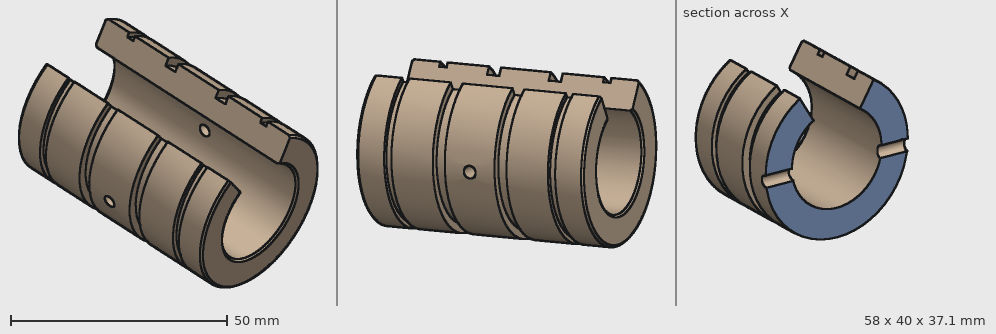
import cadquery as cq
import math

length = 58.0
outer_diameter = 40.0
bore_diameter = 25.0
opening_angle = 62.0
edge_chamfer = 0.5

narrow_groove_width = 1.85
narrow_groove_depth = 1.2
narrow_groove_offset = 20.95
wide_groove_width = 3.1
wide_groove_depth = 2.1
wide_groove_offset = 7.9

cross_hole_diameter = 3.0

outer_radius = outer_diameter / 2
half_opening = math.radians(opening_angle / 2)
top_height = outer_radius * math.cos(half_opening)
cross_hole_height = (top_height - outer_radius) / 2


def cylinder_along_x(diameter, width, center_x=0.0):
    """Solid cylinder on the X axis, centered at center_x."""
    start = center_x - width / 2
    return cq.Workplane("YZ", origin=(start, 0, 0)).circle(diameter / 2).extrude(width)


def groove(center_x, width, depth):
    """Ring to remove from the outside of the sleeve."""
    ring = cylinder_along_x(outer_diameter + 2 * depth, width, center_x)
    return ring.cut(cylinder_along_x(outer_diameter - 2 * depth, width, center_x))


def opening_wedge():
    """Wedge with radial faces, wide enough to clear the outside."""
    wedge_height = outer_diameter
    half_width = wedge_height * math.tan(half_opening)
    corners = [(0, 0), (half_width, wedge_height), (-half_width, wedge_height)]
    return cq.Workplane("YZ").polyline(corners).close().extrude(length / 2, both=True)


result = cylinder_along_x(outer_diameter, length).cut(cylinder_along_x(bore_diameter, length))
result = result.faces("<X or >X").edges().chamfer(edge_chamfer)

for side in (-1, 1):
    result = result.cut(groove(side * narrow_groove_offset, narrow_groove_width, narrow_groove_depth))
    result = result.cut(groove(side * wide_groove_offset, wide_groove_width, wide_groove_depth))

result = result.cut(opening_wedge())

cross_hole = (
    cq.Workplane("XZ", origin=(0, 0, cross_hole_height))
    .circle(cross_hole_diameter / 2)
    .extrude(outer_diameter, both=True)
)
result = result.cut(cross_hole)